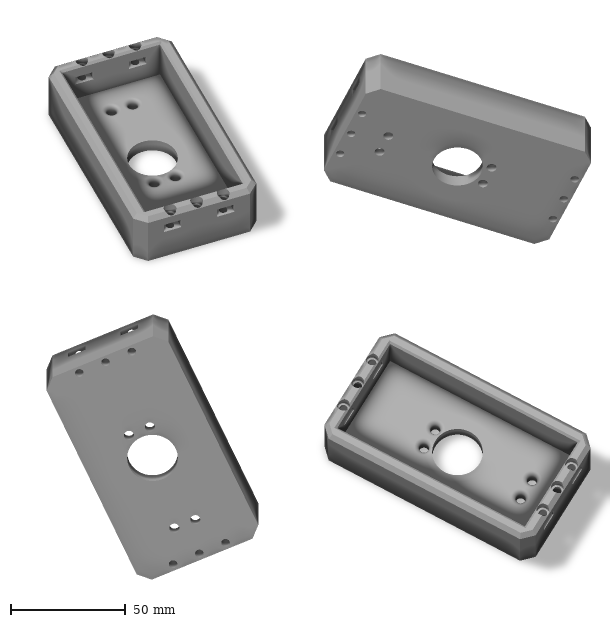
import cadquery as cq

length = 106.0
width = 58.0
height = 25.0
corner_chamfer = 5.0
rim_chamfer = 2.0

wall = 5.9
floor = 6.0
mouth_chamfer = 1.0

bore_diameter = 3.7
bore_inset = 3.0
bore_pitch = 12.5
counterbore_diameter = 5.5
counterbore_depth = 4.2

slot_width = 8.3
slot_height = 4.3
slot_bottom = 14.7

center_hole_diameter = 22.0
screw_diameter = 4.3
screw_rounding = 2.0
screw_left_x = -34.6
screw_spacing_x = 48.5
screw_spacing_y = 10.0


def make_body():
    """Block with chamfered upright corners and a chamfered rim."""
    block = cq.Workplane("XY").box(length, width, height, centered=(True, True, False))
    return block.edges("|Z").chamfer(corner_chamfer).faces(">Z").edges().chamfer(rim_chamfer)


def make_cavity():
    """Rectangular pocket that flares outward at its mouth."""
    pocket_length = length - 2 * wall
    pocket_width = width - 2 * wall
    pocket = cq.Workplane("XY", origin=(0, 0, floor)).rect(pocket_length, pocket_width).extrude(height - floor)
    flare = (
        cq.Workplane("XY", origin=(0, 0, height - mouth_chamfer))
        .rect(pocket_length, pocket_width)
        .workplane(offset=mouth_chamfer)
        .rect(pocket_length + 2 * mouth_chamfer, pocket_width + 2 * mouth_chamfer)
        .loft(ruled=True)
    )
    return pocket.union(flare)


def make_wall_bores():
    """Three counterbored through holes in each end wall."""
    bore_x = length / 2 - bore_inset
    points = [(side * bore_x, row * bore_pitch) for side in (-1, 1) for row in (-1, 0, 1)]
    bores = cq.Workplane("XY").pushPoints(points).circle(bore_diameter / 2).extrude(height)
    counterbores = (
        cq.Workplane("XY", origin=(0, 0, height - counterbore_depth))
        .pushPoints(points)
        .circle(counterbore_diameter / 2)
        .extrude(counterbore_depth)
    )
    return bores.union(counterbores)


def make_nut_slots():
    """Two slots along X that open through both end walls."""
    return (
        cq.Workplane("XY", origin=(0, 0, slot_bottom))
        .pushPoints([(0, -bore_pitch), (0, bore_pitch)])
        .box(length, slot_width, slot_height, centered=(True, True, False))
    )


def make_screw_hole(x, y):
    """Through hole whose upper edge is rounded into the floor."""
    radius = screw_diameter / 2
    mouth_radius = radius + screw_rounding
    diagonal = screw_rounding * 0.5 ** 0.5
    arc_middle = (mouth_radius - diagonal, floor - screw_rounding + diagonal)
    return (
        cq.Workplane("XZ")
        .lineTo(radius, 0)
        .lineTo(radius, floor - screw_rounding)
        .threePointArc(arc_middle, (mouth_radius, floor))
        .lineTo(0, floor)
        .close()
        .revolve(360, (0, 0, 0), (0, 1, 0))
        .translate((x, y, 0))
    )


result = make_body().cut(make_cavity()).cut(make_wall_bores()).cut(make_nut_slots())
result = result.cut(cq.Workplane("XY").circle(center_hole_diameter / 2).extrude(floor))
for screw_x in (screw_left_x, screw_left_x + screw_spacing_x):
    for screw_y in (-screw_spacing_y / 2, screw_spacing_y / 2):
        result = result.cut(make_screw_hole(screw_x, screw_y))